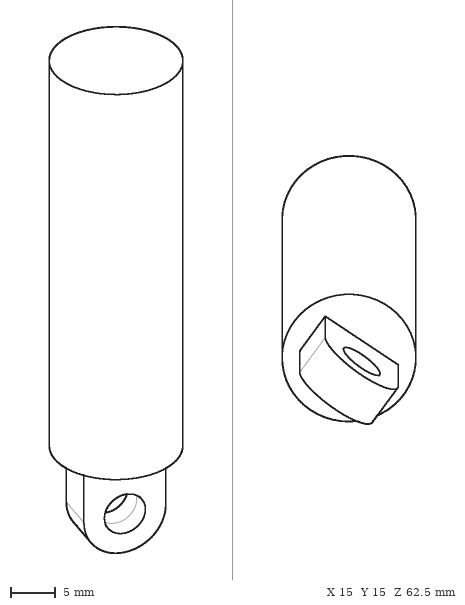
import cadquery as cq

body_diameter = 15.0
body_length = 50.0

lug_width = 10.0
lug_thickness = 5.0
lug_length = 12.5
hole_diameter = 5.0

lug_radius = lug_width / 2
eye_z = lug_radius - lug_length


def make_body():
    return cq.Workplane("XY").circle(body_diameter / 2).extrude(body_length)


def make_lug():
    profile = (
        cq.Workplane("YZ")
        .moveTo(-lug_radius, 0)
        .lineTo(-lug_radius, eye_z)
        .threePointArc((0, -lug_length), (lug_radius, eye_z))
        .lineTo(lug_radius, 0)
        .close()
    )
    return profile.extrude(lug_thickness / 2, both=True)


def make_eye_hole():
    hole = cq.Workplane("YZ").center(0, eye_z).circle(hole_diameter / 2)
    return hole.extrude(lug_thickness, both=True)


result = make_body().union(make_lug()).cut(make_eye_hole())